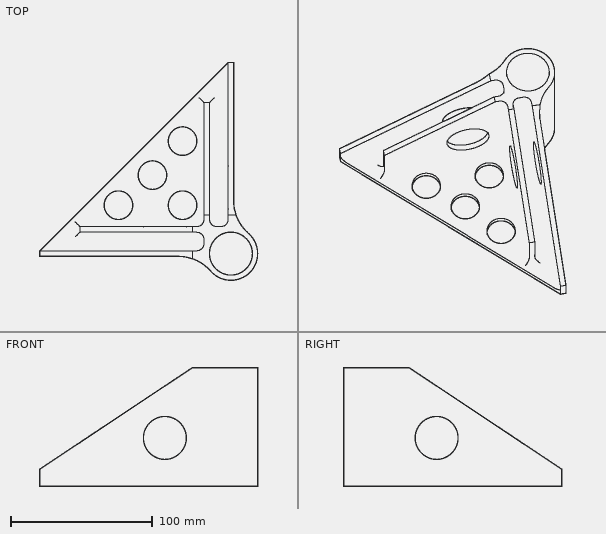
import cadquery as cq
import math

HEIGHT = 84.0
HUB_RADIUS = 19.0
BORE_DIAMETER = 30.2
BLEND_RADIUS = 30.0

OVERALL_LENGTH = 154.2
ARM_LENGTH = OVERALL_LENGTH - HUB_RADIUS
WALL_THICKNESS = 4.0
WALL_FACE = WALL_THICKNESS / 2
TIP_HEIGHT = 12.2
SLOPE_START = 27.1

RIB_OUTER = 15.1
RIB_INNER = RIB_OUTER + WALL_THICKNESS
RIB_LENGTH = 106.9
CHANNEL_END = RIB_INNER

FLOOR_THICKNESS = 4.0
FLOOR_FILLET = 4.0
CORNER_RADIUS = 5.1

WALL_HOLE_DIAMETER = 30.2
WALL_HOLE_DISTANCE = 46.7
WALL_HOLE_HEIGHT = 34.2
FLOOR_HOLE_DIAMETER = 20
FLOOR_HOLE_NEAR = 34.2
FLOOR_HOLE_MIDDLE = 55.5
FLOOR_HOLE_FAR = 79.5

CLEARANCE = 15.4


def across(point):
    """Reflect a plan point in the diagonal that swaps the two arms."""
    x, y = point
    return (-y, -x)


def make_blank():
    """Full-height prism: triangle, blended into the round hub."""
    center_distance = HUB_RADIUS + BLEND_RADIUS
    center_y = -WALL_FACE - BLEND_RADIUS
    center_x = -math.sqrt(center_distance**2 - center_y**2)
    hub_share = HUB_RADIUS / center_distance
    hub_tangent = (center_x * hub_share, center_y * hub_share)
    wall_tangent = (center_x, -WALL_FACE)
    blend_angle = (math.pi / 2 + math.atan2(-center_y, -center_x)) / 2
    blend_middle = (
        center_x + BLEND_RADIUS * math.cos(blend_angle),
        center_y + BLEND_RADIUS * math.sin(blend_angle),
    )
    hub_far = (HUB_RADIUS * math.sqrt(0.5), -HUB_RADIUS * math.sqrt(0.5))
    tip_inner = (-ARM_LENGTH, WALL_FACE)
    tip_outer = (-ARM_LENGTH, -WALL_FACE)
    return (
        cq.Workplane("XY")
        .moveTo(*tip_inner)
        .lineTo(*tip_outer)
        .lineTo(*wall_tangent)
        .threePointArc(blend_middle, hub_tangent)
        .threePointArc(hub_far, across(hub_tangent))
        .threePointArc(across(blend_middle), across(wall_tangent))
        .lineTo(*across(tip_outer))
        .lineTo(*across(tip_inner))
        .close()
        .extrude(HEIGHT)
    )


def make_cavity():
    """Space above the floor, between the walls and around both ribs."""
    far = ARM_LENGTH + CLEARANCE
    rounded_half = [
        (-CHANNEL_END, WALL_FACE),
        (-CHANNEL_END, RIB_OUTER),
    ]
    half = [(-far, WALL_FACE)] + rounded_half + [
        (-RIB_LENGTH, RIB_OUTER),
        (-RIB_LENGTH, RIB_INNER),
    ]
    inner_corner = (-RIB_INNER, RIB_INNER)
    reflected_half = [across(point) for point in reversed(half)]
    outline = half + [inner_corner] + reflected_half
    outline.append((-far, far))
    cavity = (
        cq.Workplane("XY")
        .workplane(offset=FLOOR_THICKNESS)
        .polyline(outline)
        .close()
        .extrude(HEIGHT)
    )
    middle_height = FLOOR_THICKNESS + HEIGHT / 2
    corners = cq.Workplane("XY")
    reflected_corners = [across(point) for point in rounded_half]
    for x, y in rounded_half + reflected_corners + [inner_corner]:
        corners = corners.add(cavity.edges(cq.NearestToPointSelector((x, y, middle_height))))
    cavity = cavity.newObject(corners.vals()).fillet(CORNER_RADIUS)
    return cavity.faces("<Z").edges().fillet(FLOOR_FILLET)


def make_arm_cutter():
    """Sloped top and round wall hole for the arm along -X."""
    run = ARM_LENGTH - SLOPE_START
    slope = (HEIGHT - TIP_HEIGHT) / run
    overrun_x = -ARM_LENGTH - CLEARANCE
    overrun_z = TIP_HEIGHT - slope * CLEARANCE
    depth = RIB_INNER + 2 * CLEARANCE
    outer_side = cq.Workplane("XZ", origin=(0, -CLEARANCE, 0))
    slope_cut = (
        outer_side.moveTo(-SLOPE_START, HEIGHT)
        .lineTo(overrun_x, overrun_z)
        .lineTo(overrun_x, HEIGHT)
        .close()
        .extrude(-depth)
    )
    wall_hole = (
        outer_side.center(-WALL_HOLE_DISTANCE, WALL_HOLE_HEIGHT)
        .circle(WALL_HOLE_DIAMETER / 2)
        .extrude(-depth)
    )
    return slope_cut.union(wall_hole)


def reflect_arm(shape):
    """Reflect an arm along -X into the arm along +Y."""
    return shape.mirror("XZ").rotate((0, 0, 0), (0, 0, 1), -90)


def cut_vertical_holes(body):
    """Bore the hub and the four floor holes."""
    floor_holes = [
        (-FLOOR_HOLE_NEAR, FLOOR_HOLE_NEAR),
        (-FLOOR_HOLE_MIDDLE, FLOOR_HOLE_MIDDLE),
        (-FLOOR_HOLE_FAR, FLOOR_HOLE_NEAR),
        (-FLOOR_HOLE_NEAR, FLOOR_HOLE_FAR),
    ]
    bore = cq.Workplane("XY").circle(BORE_DIAMETER / 2).extrude(HEIGHT)
    holes = cq.Workplane("XY").pushPoints(floor_holes).circle(FLOOR_HOLE_DIAMETER / 2).extrude(HEIGHT)
    return body.cut(bore).cut(holes)


arm_cutter = make_arm_cutter()
bracket = make_blank().cut(make_cavity())
bracket = bracket.cut(arm_cutter).cut(reflect_arm(arm_cutter))
result = cut_vertical_holes(bracket)